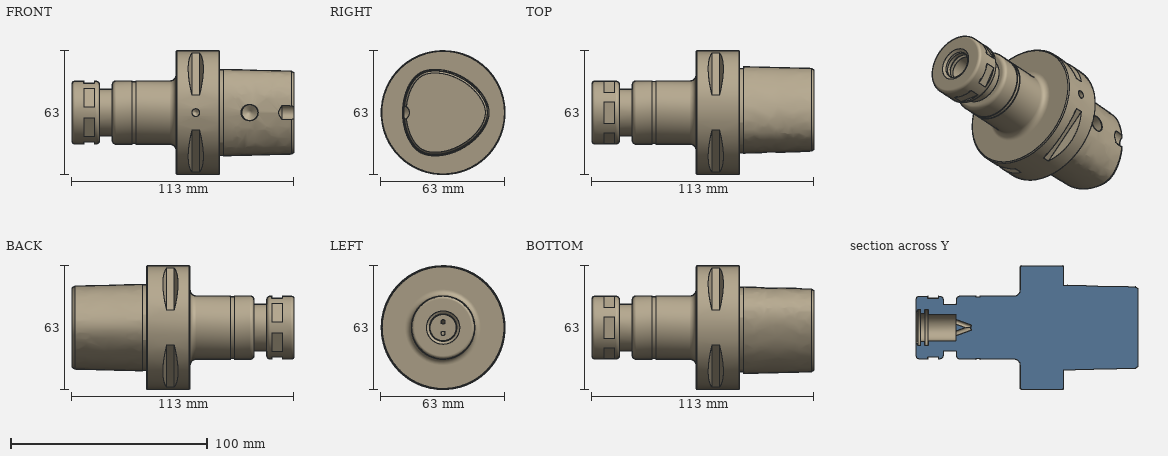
import cadquery as cq
import math

TOTAL_LENGTH = 113.0

NUT_DIA = 32.0
NUT_LENGTH = 14.0
NUT_FRONT_FILLET = 1.5
NUT_REAR_FILLET = 1.8
NUT_FLAT_COUNT = 6
NUT_FLAT_START = 6.0
NUT_FLAT_LENGTH = 5.4
NUT_FLAT_DISTANCE = 15.0

NECK_DIA = 24.0
BODY_START = 20.5
BODY_DIA = 32.3
BODY_FILLET = 2.0
GROOVE_START = 30.4
GROOVE_WIDTH = 2.0
GROOVE_DIA = 31.6
ROOT_FILLET = 3.0

FLANGE_START = 52.9
FLANGE_END = 75.0
FLANGE_DIA = 63.0
FLANGE_FRONT_CHAMFER = 0.6
FLANGE_REAR_CHAMFER = 0.3
GRIP_COUNT = 4
GRIP_FIRST_ANGLE = 45.0
GRIP_CENTER = 62.9
GRIP_FLOOR_WIDTH = 3.8
GRIP_FLOOR_DISTANCE = 27.7
GRIP_WALL_ANGLE = 27.0
FLANGE_HOLE_DIA = 4.0
FLANGE_HOLE_DEPTH = 5.6

SHANK_START = 77.1
SHANK_RADIUS = 22.0
SHANK_LOBE = 1.4
POLYGON_POINT_COUNT = 36
SHANK_TAPER = 0.025
SHANK_CHAMFER = 1.5
SHANK_CHAMFER_HEIGHT = 1.0
SHANK_NECK_RADIUS = 21.9
SHANK_NECK_DIA = 45.0
SHANK_HOLE_X = 90.4
SHANK_HOLE_DIA = 8.1
SHANK_HOLE_DEPTH = 5.6
SHANK_HOLE_COUNTERSINK = 0.3
KEYWAY_DIA = 7.3
KEYWAY_START = 106.7
KEYWAY_AXIS_DISTANCE = 20.8

DRILL_POINT_ANGLE = 118.0
CUT_CLEARANCE = 1.1

MOUTH_DIA = 17.0
MOUTH_DEPTH = 1.0
NUT_RECESS_DIA = 18.2
NUT_RECESS_DEPTH = 2.3
COLLET_LAND_DIA = 14.0
COLLET_LAND_DEPTH = 4.5
COLLET_RECESS_DEPTH = 6.2
BORE_DIA = 13.3
BORE_DEPTH = 20.3
PORT_DIA = 2.0
PORT_OFFSET = 2.9
PORT_DEPTH = 7.9
PORT_TILT = 20.0


def cylinder(start, end, diameter):
    """Solid cylinder on the tool axis between two X positions."""
    return cq.Workplane("YZ").workplane(offset=start).circle(diameter / 2).extrude(end - start)


def drill(diameter, depth):
    """Drilled-hole cutter along +Y to the given depth below the origin, plus a conical point."""
    radius = diameter / 2
    point = radius / math.tan(math.radians(DRILL_POINT_ANGLE / 2))
    outline = [(0, -CUT_CLEARANCE), (radius, -CUT_CLEARANCE), (radius, depth), (0, depth + point)]
    return cq.Workplane("XY").polyline(outline).close().revolve(360, (0, 0, 0), (0, 1, 0))


def countersink(diameter, width):
    """45-degree countersink cutter along +Y that widens a hole by width all round at the origin."""
    outer = diameter / 2 + width + CUT_CLEARANCE
    outline = [(0, -CUT_CLEARANCE), (outer, -CUT_CLEARANCE), (0, outer - CUT_CLEARANCE)]
    return cq.Workplane("XY").polyline(outline).close().revolve(360, (0, 0, 0), (0, 1, 0))


def polygon_wire(x, radius):
    """Three-lobed section at X; the support distance is radius + lobe * cos(3 * angle)."""
    points = []
    for i in range(POLYGON_POINT_COUNT):
        angle = 2 * math.pi * i / POLYGON_POINT_COUNT
        support = radius + SHANK_LOBE * math.cos(3 * angle)
        slope = -3 * SHANK_LOBE * math.sin(3 * angle)
        y = support * math.cos(angle) - slope * math.sin(angle)
        z = support * math.sin(angle) + slope * math.cos(angle)
        points.append(cq.Vector(x, y, z))
    return cq.Wire.assembleEdges([cq.Edge.makeSpline(points, periodic=True)])


def polygon_prism(start, end, start_radius, end_radius):
    """Solid between two polygon sections, tapered when the radii differ."""
    first = polygon_wire(start, start_radius)
    last = polygon_wire(end, end_radius)
    return cq.Workplane(cq.Solid.makeLoft([first, last], True))


def make_nut():
    """Clamping nut with rounded ends and wrench flats around its rim."""
    nut = cylinder(0, NUT_LENGTH, NUT_DIA)
    nut = nut.faces("<X").edges().fillet(NUT_FRONT_FILLET)
    nut = nut.faces(">X").edges().fillet(NUT_REAR_FILLET)
    cutter = cq.Workplane("XY").box(NUT_FLAT_LENGTH, NUT_DIA, NUT_DIA, centered=(False, True, False))
    cutter = cutter.translate((NUT_FLAT_START, 0, NUT_FLAT_DISTANCE))
    for i in range(NUT_FLAT_COUNT):
        nut = nut.cut(cutter.rotate((0, 0, 0), (1, 0, 0), i * 360 / NUT_FLAT_COUNT))
    return nut


def make_body():
    """Cylindrical body with a rounded front edge and a shallow ring groove."""
    body = cylinder(BODY_START, FLANGE_START, BODY_DIA).faces("<X").edges().fillet(BODY_FILLET)
    groove_end = GROOVE_START + GROOVE_WIDTH
    groove = cylinder(GROOVE_START, groove_end, BODY_DIA + CUT_CLEARANCE).cut(
        cylinder(GROOVE_START, groove_end, GROOVE_DIA)
    )
    return body.cut(groove)


def make_root_fillet():
    """Concave ring that blends the body into the front face of the flange."""
    radius = BODY_DIA / 2
    outline = (
        cq.Workplane("XY")
        .moveTo(FLANGE_START - ROOT_FILLET, 0)
        .lineTo(FLANGE_START - ROOT_FILLET, radius)
        .radiusArc((FLANGE_START, radius + ROOT_FILLET), -ROOT_FILLET)
        .lineTo(FLANGE_START, 0)
        .close()
    )
    return outline.revolve(360, (0, 0, 0), (1, 0, 0))


def make_flange():
    """Flange with sloped-wall gripper grooves and a drilled hole on the -Y side."""
    flange = cylinder(FLANGE_START, FLANGE_END, FLANGE_DIA)
    flange = flange.faces("<X").edges().chamfer(FLANGE_FRONT_CHAMFER)
    flange = flange.faces(">X").edges().chamfer(FLANGE_REAR_CHAMFER)
    depth = FLANGE_DIA / 2 - GRIP_FLOOR_DISTANCE + CUT_CLEARANCE
    half_floor = GRIP_FLOOR_WIDTH / 2
    half_top = half_floor + depth * math.tan(math.radians(GRIP_WALL_ANGLE))
    outline = [(-half_floor, 0), (half_floor, 0), (half_top, depth), (-half_top, depth)]
    grip = cq.Workplane("XZ").polyline(outline).close().extrude(FLANGE_DIA / 2, both=True)
    grip = grip.translate((GRIP_CENTER, 0, GRIP_FLOOR_DISTANCE))
    for i in range(GRIP_COUNT):
        flange = flange.cut(grip.rotate((0, 0, 0), (1, 0, 0), GRIP_FIRST_ANGLE + i * 360 / GRIP_COUNT))
    hole = drill(FLANGE_HOLE_DIA, FLANGE_HOLE_DEPTH).translate((GRIP_CENTER, -FLANGE_DIA / 2, 0))
    return flange.cut(hole)


def make_shank():
    """Tapered polygon shank with a rounded-off neck, and a cross hole and keyway on the -Y side."""
    taper_end = TOTAL_LENGTH - SHANK_CHAMFER
    end_radius = SHANK_RADIUS - SHANK_TAPER * (taper_end - SHANK_START)
    shank = polygon_prism(SHANK_START, taper_end, SHANK_RADIUS, end_radius)
    tip = polygon_prism(taper_end, TOTAL_LENGTH, end_radius, end_radius - SHANK_CHAMFER_HEIGHT)
    neck = polygon_prism(FLANGE_END, SHANK_START, SHANK_NECK_RADIUS, SHANK_NECK_RADIUS)
    neck = neck.intersect(cylinder(FLANGE_END, SHANK_START, SHANK_NECK_DIA))

    surface = SHANK_RADIUS - SHANK_LOBE - SHANK_TAPER * (SHANK_HOLE_X - SHANK_START)
    hole = drill(SHANK_HOLE_DIA, SHANK_HOLE_DEPTH)
    hole = hole.union(countersink(SHANK_HOLE_DIA, SHANK_HOLE_COUNTERSINK))
    hole = hole.translate((SHANK_HOLE_X, -surface, 0))
    keyway = drill(KEYWAY_DIA, TOTAL_LENGTH - KEYWAY_START).rotate((0, 0, 0), (0, 0, 1), 90)
    keyway = keyway.translate((TOTAL_LENGTH, -KEYWAY_AXIS_DISTANCE, 0))
    return shank.union(tip).union(neck).cut(hole).cut(keyway)


def make_bore():
    """Cutter for the blind collet bore: tapered mouth, two ring recesses and two floor ports."""
    outline = [
        (0, 0),
        (0, MOUTH_DIA / 2),
        (MOUTH_DEPTH, COLLET_LAND_DIA / 2),
        (MOUTH_DEPTH, NUT_RECESS_DIA / 2),
        (NUT_RECESS_DEPTH, NUT_RECESS_DIA / 2),
        (NUT_RECESS_DEPTH, COLLET_LAND_DIA / 2),
        (COLLET_LAND_DEPTH, COLLET_LAND_DIA / 2),
        (COLLET_LAND_DEPTH, NUT_RECESS_DIA / 2),
        (COLLET_RECESS_DEPTH, NUT_RECESS_DIA / 2),
        (COLLET_RECESS_DEPTH, BORE_DIA / 2),
        (BORE_DEPTH, BORE_DIA / 2),
        (BORE_DEPTH, 0),
    ]
    bore = cq.Workplane("XY").polyline(outline).close().revolve(360, (0, 0, 0), (1, 0, 0))
    for side in (-1, 1):
        port = cylinder(-PORT_DIA / 2, PORT_DEPTH, PORT_DIA).rotate((0, 0, 0), (0, 1, 0), side * PORT_TILT)
        bore = bore.union(port.translate((BORE_DEPTH, 0, side * PORT_OFFSET)))
    return bore


result = (
    make_nut()
    .union(cylinder(NUT_LENGTH, BODY_START, NECK_DIA))
    .union(make_body())
    .union(make_root_fillet())
    .union(make_flange())
    .union(make_shank())
    .cut(make_bore())
)